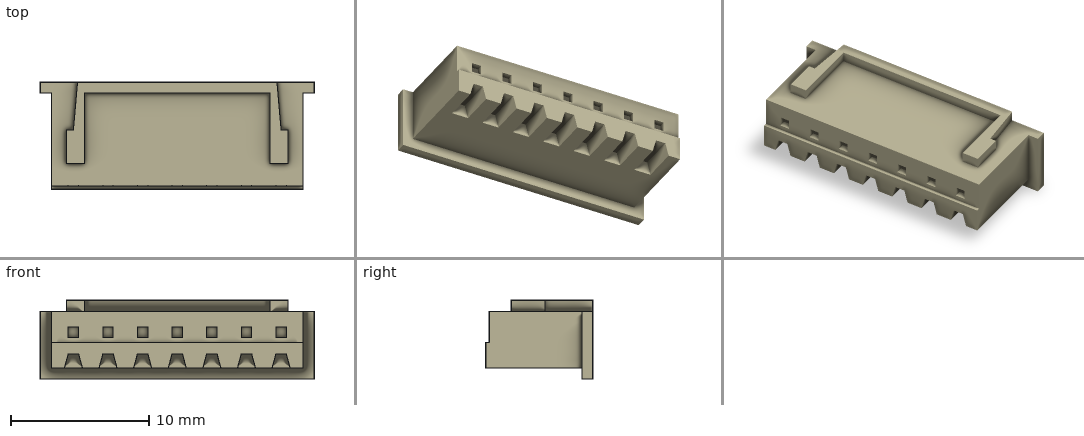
import cadquery as cq
import math


CONTACT_COUNT = 7
PITCH = 2.5

FLANGE_WIDTH = 19.8
FLANGE_HEIGHT = 4.9
FLANGE_THICKNESS = 0.8
FLANGE_LIP = 0.8

BODY_WIDTH = FLANGE_WIDTH - 2 * FLANGE_LIP
BODY_LENGTH = 7.5
STEP_LENGTH = 0.25
STEP_Z = 2.65

RAIL_HEIGHT = 0.8
RAIL_LENGTH = 5.9
RAIL_BAR_THICKNESS = 0.8
RAIL_INNER_HALF_WIDTH = 6.7
RAIL_BACK_HALF_WIDTH = 7.2
RAIL_NECK_HALF_WIDTH = 7.5
RAIL_END_HALF_WIDTH = 8.0
RAIL_NECK_LENGTH = 3.45

HOLE_SIZE = 0.75
HOLE_DEPTH = 0.5
HOLE_Z = 3.4

NOTCH_BOTTOM_WIDTH = 1.3
NOTCH_HEIGHT = 1.0
NOTCH_SIDE_ANGLE = 15
NOTCH_TOP_WIDTH = NOTCH_BOTTOM_WIDTH - 2 * NOTCH_HEIGHT * math.tan(math.radians(NOTCH_SIDE_ANGLE))
NOTCH_DEPTH = 2.75

FRONT_Y = -(BODY_LENGTH + STEP_LENGTH)


def make_flange():
    plate = cq.Workplane("XY").box(
        FLANGE_WIDTH, FLANGE_THICKNESS, FLANGE_HEIGHT, centered=(True, True, False)
    )
    return plate.translate((0, -FLANGE_THICKNESS / 2, 0))


def make_body():
    side_profile = [
        (0, FLANGE_LIP),
        (0, FLANGE_HEIGHT),
        (-BODY_LENGTH, FLANGE_HEIGHT),
        (-BODY_LENGTH, STEP_Z),
        (FRONT_Y, STEP_Z),
        (FRONT_Y, FLANGE_LIP),
    ]
    return cq.Workplane("YZ").polyline(side_profile).close().extrude(BODY_WIDTH / 2, both=True)


def make_rail():
    right_half = [
        (RAIL_BACK_HALF_WIDTH, 0),
        (RAIL_NECK_HALF_WIDTH, -RAIL_NECK_LENGTH),
        (RAIL_END_HALF_WIDTH, -RAIL_NECK_LENGTH),
        (RAIL_END_HALF_WIDTH, -RAIL_LENGTH),
        (RAIL_INNER_HALF_WIDTH, -RAIL_LENGTH),
        (RAIL_INNER_HALF_WIDTH, -RAIL_BAR_THICKNESS),
    ]
    left_half = [(-x, y) for x, y in reversed(right_half)]
    top_face = cq.Workplane("XY").workplane(offset=FLANGE_HEIGHT)
    return top_face.polyline(right_half + left_half).close().extrude(RAIL_HEIGHT)


def cut_from_front(outline, x, face_y, depth):
    """Prism of an XZ outline at x, running back from the front face at face_y."""
    points = [(x + dx, z) for dx, z in outline]
    front_plane = cq.Workplane("XZ", origin=(0, face_y, 0))
    return front_plane.polyline(points).close().extrude(-depth)


def make_contact_cuts(x):
    """Square hole and tapered notch of the contact at x."""
    half_hole = HOLE_SIZE / 2
    hole = [
        (-half_hole, HOLE_Z - half_hole),
        (half_hole, HOLE_Z - half_hole),
        (half_hole, HOLE_Z + half_hole),
        (-half_hole, HOLE_Z + half_hole),
    ]
    notch = [
        (-NOTCH_BOTTOM_WIDTH / 2, FLANGE_LIP),
        (NOTCH_BOTTOM_WIDTH / 2, FLANGE_LIP),
        (NOTCH_TOP_WIDTH / 2, FLANGE_LIP + NOTCH_HEIGHT),
        (-NOTCH_TOP_WIDTH / 2, FLANGE_LIP + NOTCH_HEIGHT),
    ]
    hole_cut = cut_from_front(hole, x, -BODY_LENGTH, HOLE_DEPTH)
    notch_cut = cut_from_front(notch, x, FRONT_Y, NOTCH_DEPTH)
    return hole_cut, notch_cut


result = make_flange().union(make_body()).union(make_rail())
for index in range(CONTACT_COUNT):
    contact_x = (index - (CONTACT_COUNT - 1) / 2) * PITCH
    hole_cut, notch_cut = make_contact_cuts(contact_x)
    result = result.cut(hole_cut).cut(notch_cut)